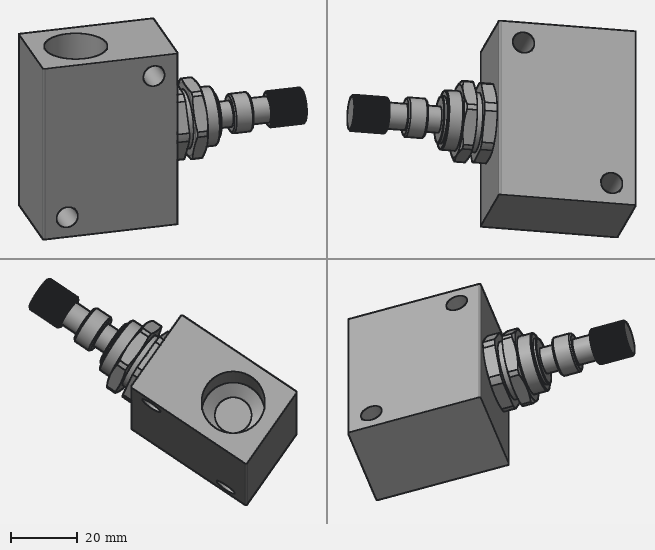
import cadquery as cq
import math


BLOCK_WIDTH = 27.0
BLOCK_LENGTH = 42.0
BLOCK_HEIGHT = 56.0
BLOCK_EDGE_RADIUS = 0.5
PORT_DIAMETER = 19.0
PORT_DEPTH = 15.0
PORT_FLOOR_DIAMETER = 11.0
PORT_CONE_ANGLE = 118.0
PORT_FROM_FRONT = 14.0
MOUNT_HOLE_DIAMETER = 6.6
MOUNT_HOLE_Y_INSET = 7.5
MOUNT_HOLE_Z_INSET = 6.5

HEX_ACROSS_FLATS = 22.0
SEAT_CHAMFER_ANGLE = 15.0

FOOT_CORNER_DIAMETER = 24.0
FOOT_HEIGHT = 4.0
FOOT_TURN = 3.0
BARREL_DIAMETER = 18.0
BARREL_END = 14.5
BARREL_CHAMFER = 0.3
LIP_DIAMETER = 14.4
LIP_HEIGHT = 1.0
LIP_CHAMFER = 0.25
STEM_DIAMETER = 8.0
STEM_DEPTH_IN_KNOB = 8.0

NUT_CORNER_DIAMETER = 24.5
NUT_START = 6.1
NUT_HEIGHT = 4.0
NUT_OUTER_CHAMFER_ANGLE = 25.0

COLLAR_DIAMETER = 12.0
COLLAR_START = 19.9
COLLAR_HEIGHT = 6.0
COLLAR_CHAMFER = 0.5

KNOB_DIAMETER = 11.0
KNOB_END = 42.59
KNOB_HEIGHT = 11.0
KNOB_START = KNOB_END - KNOB_HEIGHT
KNOB_CHAMFER = 0.5
KNURL_COUNT = 120
KNURL_DEPTH = 0.15


def disc(diameter, start, height):
    """Round disc on the Y axis, from Y = start to Y = start + height."""
    return cq.Workplane("XZ", origin=(0, start, 0)).circle(diameter / 2).extrude(-height)


def turned_hexagon(corner_diameter, start, height, end_chamfers, turn=0.0):
    """Hexagon on the Y axis with two corners along X and its corners turned down to a cylinder.

    end_chamfers lists (end face, cone angle): each cone runs down to a circle touching the flats.
    """
    corner_to_corner = HEX_ACROSS_FLATS / math.cos(math.pi / 6)
    hexagon = (
        cq.Workplane("XZ", origin=(0, start, 0))
        .polygon(6, corner_to_corner)
        .extrude(-height)
        .rotate((0, 0, 0), (0, 1, 0), turn)
    )
    envelope = disc(corner_diameter, start, height)
    chamfer_width = (corner_diameter - HEX_ACROSS_FLATS) / 2
    for end_face, cone_angle in end_chamfers:
        chamfer_height = chamfer_width * math.tan(math.radians(cone_angle))
        envelope = envelope.faces(end_face).chamfer(chamfer_height, chamfer_width)
    return hexagon.intersect(envelope)


def make_stem():
    stem_start = BARREL_END + LIP_HEIGHT
    return disc(STEM_DIAMETER, stem_start, KNOB_START + STEM_DEPTH_IN_KNOB - stem_start)


def make_port():
    """Cutter for the port in the top face: a straight bore, then a cone down to a flat floor."""
    bore_radius = PORT_DIAMETER / 2
    floor_radius = PORT_FLOOR_DIAMETER / 2
    top = BLOCK_HEIGHT / 2
    cone_top = top - PORT_DEPTH
    floor = cone_top - (bore_radius - floor_radius) / math.tan(math.radians(PORT_CONE_ANGLE / 2))
    return (
        cq.Workplane("XZ")
        .moveTo(0, top)
        .lineTo(bore_radius, top)
        .lineTo(bore_radius, cone_top)
        .lineTo(floor_radius, floor)
        .lineTo(0, floor)
        .close()
        .revolve(360, (0, 0, 0), (0, 1, 0))
        .translate((0, PORT_FROM_FRONT - BLOCK_LENGTH, 0))
    )


def make_mount_holes():
    """Cutter for two holes across the width, in diagonally opposite corners of the block."""
    hole_z = BLOCK_HEIGHT / 2 - MOUNT_HOLE_Z_INSET
    upper_hole = (-MOUNT_HOLE_Y_INSET, hole_z)
    lower_hole = (MOUNT_HOLE_Y_INSET - BLOCK_LENGTH, -hole_z)
    return (
        cq.Workplane("YZ")
        .pushPoints([upper_hole, lower_hole])
        .circle(MOUNT_HOLE_DIAMETER / 2)
        .extrude(BLOCK_WIDTH / 2, both=True)
    )


def make_block():
    block = (
        cq.Workplane("XY")
        .box(BLOCK_WIDTH, BLOCK_LENGTH, BLOCK_HEIGHT)
        .edges("|Z")
        .fillet(BLOCK_EDGE_RADIUS)
        .translate((0, -BLOCK_LENGTH / 2, 0))
    )
    return block.cut(make_port()).cut(make_mount_holes())


def make_neck():
    foot = turned_hexagon(FOOT_CORNER_DIAMETER, 0, FOOT_HEIGHT, [("<Y", SEAT_CHAMFER_ANGLE)], FOOT_TURN)
    barrel = disc(BARREL_DIAMETER, FOOT_HEIGHT, BARREL_END - FOOT_HEIGHT)
    barrel = barrel.faces(">Y").chamfer(BARREL_CHAMFER)
    lip = disc(LIP_DIAMETER, BARREL_END, LIP_HEIGHT).faces(">Y").chamfer(LIP_CHAMFER)
    return foot.union(barrel).union(lip).union(make_stem())


def make_housing():
    return make_block().union(make_neck())


def make_panel_nut():
    end_chamfers = [("<Y", SEAT_CHAMFER_ANGLE), (">Y", NUT_OUTER_CHAMFER_ANGLE)]
    nut = turned_hexagon(NUT_CORNER_DIAMETER, NUT_START, NUT_HEIGHT, end_chamfers)
    return nut.cut(disc(BARREL_DIAMETER, NUT_START, NUT_HEIGHT))


def make_lock_collar():
    collar = disc(COLLAR_DIAMETER, COLLAR_START, COLLAR_HEIGHT)
    return collar.faces("<Y or >Y").chamfer(COLLAR_CHAMFER).cut(make_stem())


def make_knob():
    tip_radius = KNOB_DIAMETER / 2
    root_radius = tip_radius - KNURL_DEPTH
    outline = []
    for step in range(2 * KNURL_COUNT):
        angle = math.pi * step / KNURL_COUNT
        radius = tip_radius if step % 2 == 0 else root_radius
        outline.append((radius * math.cos(angle), radius * math.sin(angle)))
    knurled = cq.Workplane("XZ", origin=(0, KNOB_START, 0)).polyline(outline).close().extrude(-KNOB_HEIGHT)

    envelope = disc(KNOB_DIAMETER, KNOB_START, KNOB_HEIGHT).faces("<Y or >Y").chamfer(KNOB_CHAMFER)
    return knurled.intersect(envelope).cut(make_stem())


housing = make_housing()
panel_nut = make_panel_nut()
lock_collar = make_lock_collar()
knob = make_knob()

bodies = [housing, panel_nut, lock_collar, knob]
result = cq.Compound.makeCompound([body.solids().val() for body in bodies])